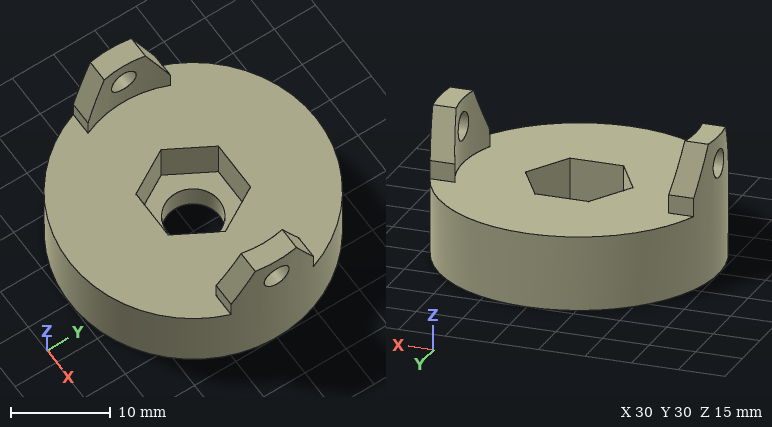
import cadquery as cq

outer_diameter = 30.0
base_height = 8.0
bore_diameter = 6.35

hex_across_flats = 10.0
hex_depth = 5.0
hex_turn = 30.0

total_height = 15.0
lug_inner_diameter = 25.02
lug_width = 10.0
lug_top_width = lug_width / 2
lug_shoulder_height = 10.0
lug_hole_diameter = 3.0
lug_hole_height = 12.0


def make_cylinder(diameter, height):
    """Upright cylinder whose seam is turned to the Y axis, clear of the lugs."""
    cylinder = cq.Workplane("XY").circle(diameter / 2).extrude(height)
    return cylinder.rotate((0, 0, 0), (0, 0, 1), 90)


def make_lugs():
    """Both lugs: a rim ring trimmed to a tapered profile along X."""
    ring = make_cylinder(outer_diameter, total_height).cut(
        make_cylinder(lug_inner_diameter, total_height)
    )
    profile = (
        cq.Workplane("YZ")
        .moveTo(-lug_width / 2, 0)
        .lineTo(lug_width / 2, 0)
        .lineTo(lug_width / 2, lug_shoulder_height)
        .lineTo(lug_top_width / 2, total_height)
        .lineTo(-lug_top_width / 2, total_height)
        .lineTo(-lug_width / 2, lug_shoulder_height)
        .close()
        .extrude(outer_diameter, both=True)
    )
    return ring.intersect(profile)


def make_lug_holes():
    """One cross pin along X pierces both lugs."""
    return (
        cq.Workplane("YZ")
        .center(0, lug_hole_height)
        .circle(lug_hole_diameter / 2)
        .extrude(outer_diameter, both=True)
    )


def make_nut_pocket():
    return (
        cq.Workplane("XY")
        .workplane(offset=base_height - hex_depth)
        .polygon(6, hex_across_flats, circumscribed=True)
        .extrude(hex_depth)
        .rotate((0, 0, 0), (0, 0, 1), hex_turn)
    )


result = (
    make_cylinder(outer_diameter, base_height)
    .union(make_lugs())
    .cut(make_lug_holes())
    .cut(make_nut_pocket())
    .cut(make_cylinder(bore_diameter, base_height))
)